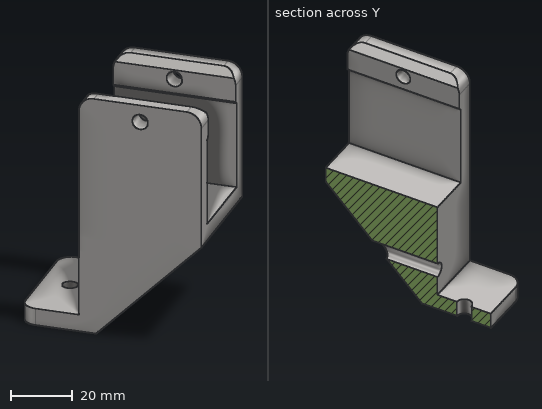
import cadquery as cq

length = 62.0
width = 42.0
height = 84.0

upright_length = 42.0
foot_length = length - upright_length
foot_thickness = 6.0
slope_rise = 36.0
corner_radius = 5.0

channel_depth = 42.0
arm_thickness = 6.0
lip_projection = 1.0
lip_depth = 11.0
lead_in = 2.7

hole_diameter = 5.3
arm_hole_drop = 6.0
upright_hole_height = 16.0


def side_body():
    """Foot, upright and sloped underside, extruded across the width."""
    outline = [
        (0, 0),
        (length - slope_rise, 0),
        (length, slope_rise),
        (length, height),
        (foot_length, height),
        (foot_length, foot_thickness),
        (0, foot_thickness),
    ]
    body = cq.Workplane("XZ").polyline(outline).close().extrude(width / 2, both=True)
    body = body.edges("|Z and <X").fillet(corner_radius)
    return body.edges("|Y and >Z").fillet(corner_radius)


def channel():
    """Lengthwise channel with inward lips and a flared mouth."""
    half_channel = width / 2 - arm_thickness
    half_throat = half_channel - lip_projection
    half_outline = [
        (half_channel, height - channel_depth),
        (half_channel, height - lip_depth - lip_projection),
        (half_throat, height - lip_depth),
        (half_throat, height - lead_in),
        (half_throat + lead_in, height),
    ]
    mirrored = [(-y, z) for y, z in reversed(half_outline)]
    return cq.Workplane("YZ").polyline(half_outline + mirrored).close().extrude(length)


hole_radius = hole_diameter / 2
foot_hole = (
    cq.Workplane("XY").center(foot_length / 2, 0).circle(hole_radius).extrude(foot_thickness)
)
upright_hole = (
    cq.Workplane("YZ").center(0, upright_hole_height).circle(hole_radius).extrude(length)
)
arm_holes = (
    cq.Workplane("XZ")
    .center(foot_length + upright_length / 2, height - arm_hole_drop)
    .circle(hole_radius)
    .extrude(width / 2, both=True)
)

result = side_body()
for cutter in (channel(), foot_hole, upright_hole, arm_holes):
    result = result.cut(cutter)